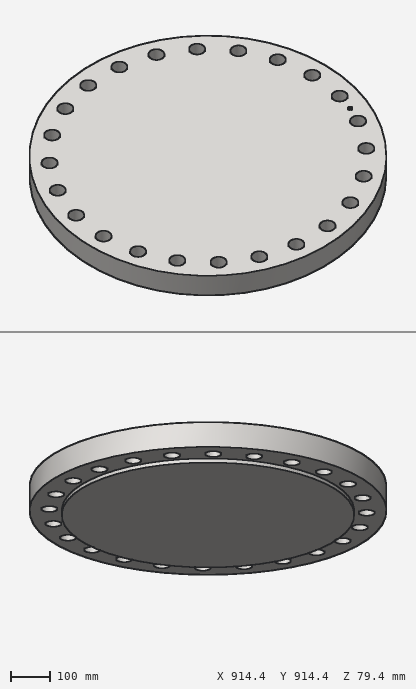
import cadquery as cq
import math

flange_diameter = 914.4
overall_height = 79.44

face_diameter = 749.3
face_height = 11.13

bolt_circle_diameter = 812.8
bolt_hole_count = 24
bolt_hole_diameter = 41.3

step_diameter = 12.0
step_depth = 3.0
pilot_diameter = 5.0
pilot_depth = 25.0
bolt_pitch_angle = 360.0 / bolt_hole_count
stepped_hole_angle = 90.0 + bolt_pitch_angle / 2


def make_blank():
    """Disc with a raised face below it; the face lies on Z = 0."""
    disc_thickness = overall_height - face_height
    face = cq.Workplane("XY").circle(face_diameter / 2).extrude(face_height)
    disc = (
        cq.Workplane("XY")
        .workplane(offset=face_height)
        .circle(flange_diameter / 2)
        .extrude(disc_thickness)
    )
    return disc.union(face)


def make_bolt_holes():
    """Cutters for the full ring of through holes."""
    return (
        cq.Workplane("XY")
        .polarArray(bolt_circle_diameter / 2, 0, 360, bolt_hole_count)
        .circle(bolt_hole_diameter / 2)
        .extrude(overall_height)
    )


def make_top_cutter(diameter, depth):
    """Cutter for a round hole sunk from the top, at the stepped hole's place on the bolt circle."""
    angle = math.radians(stepped_hole_angle)
    radius = bolt_circle_diameter / 2
    return (
        cq.Workplane("XY")
        .workplane(offset=overall_height - depth)
        .center(radius * math.cos(angle), radius * math.sin(angle))
        .circle(diameter / 2)
        .extrude(depth)
    )


def make_stepped_hole():
    """Cutter for the wide shallow step and the narrow blind pilot below it."""
    step = make_top_cutter(step_diameter, step_depth)
    pilot = make_top_cutter(pilot_diameter, pilot_depth)
    return pilot.union(step)


result = make_blank().cut(make_bolt_holes()).cut(make_stepped_hole())